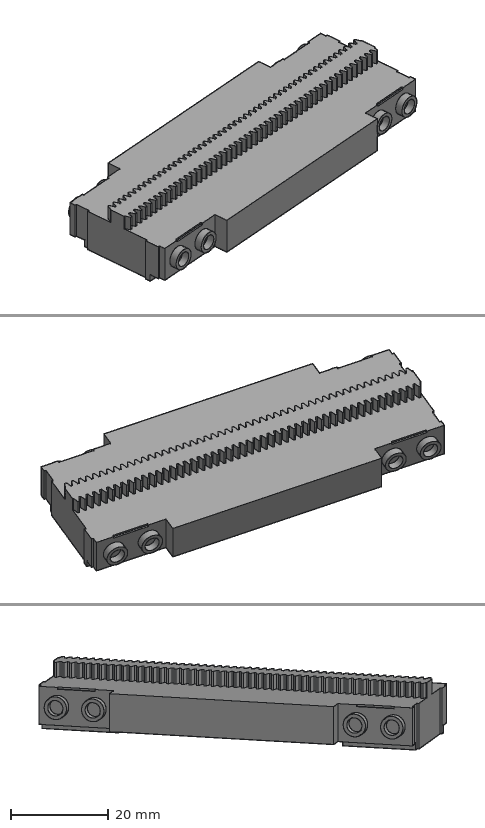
import cadquery as cq

foot_height = 1.6
body_height = 8.0
rack_height = 3.15
body_top = foot_height + body_height

body_length = 80.0
body_width = 25.6
wing_length = 48.0
wing_width = 32.0

foot_width = 18.4
foot_length = (body_length - wing_length) / 2

tab_depth = 0.4
tab_inner_x = 8.0
tab_outer_x = 11.4

tooth_count = 50
tooth_pitch = body_length / tooth_count
rack_root_x = 1.85
rack_tip_x = 3.1

pin_diameter = 4.8
pin_bore_diameter = 3.2
pin_length = 1.7
pin_overlap = 0.4
pin_spacing = 8.0
pin_pair_y = body_length / 2 - foot_length / 2
pin_z = 5.6

edge_step = 0.4


def block(x_range, y_range, z_range):
    """Box spanning the given (low, high) ranges."""
    spans = [high - low for low, high in (x_range, y_range, z_range)]
    corner = (x_range[0], y_range[0], z_range[0])
    return cq.Workplane("XY").box(*spans, centered=False).translate(corner)


def make_body():
    bar = cq.Workplane("XY", origin=(0, 0, foot_height)).rect(body_width, body_length).extrude(body_height)
    wings = cq.Workplane("XY", origin=(0, 0, foot_height)).rect(wing_width, wing_length).extrude(body_height)
    foot_y = (body_length - foot_length) / 2
    feet = (
        cq.Workplane("XY")
        .pushPoints([(0, -foot_y), (0, foot_y)])
        .rect(foot_width, foot_length)
        .extrude(foot_height)
    )
    return bar.union(wings).union(feet)


def make_end_tab():
    """Tab on the -X side of the +Y end; its foot part is as wide as the foot."""
    y_range = (body_length / 2 - tab_depth, body_length / 2 + tab_depth)
    upper = block((-tab_outer_x, -tab_inner_x), y_range, (foot_height, body_top))
    lower = block((-foot_width / 2, -tab_inner_x), y_range, (0, foot_height))
    return upper.union(lower)


def make_end_notch():
    """Notch on the +X side of the +Y end, through the full height."""
    y_range = (body_length / 2 - tab_depth, body_length / 2)
    return block((tab_inner_x, tab_outer_x), y_range, (0, body_top))


def make_rack():
    """Trapezoidal teeth whose tip, gap and flanks each take a quarter pitch along Y."""
    quarter = tooth_pitch / 4
    right_side = [(rack_root_x, -body_length / 2)]
    for index in range(tooth_count):
        start = -body_length / 2 + index * tooth_pitch
        right_side += [
            (rack_root_x, start + 0.5 * quarter),
            (rack_tip_x, start + 1.5 * quarter),
            (rack_tip_x, start + 2.5 * quarter),
            (rack_root_x, start + 3.5 * quarter),
        ]
    right_side.append((rack_root_x, body_length / 2))
    left_side = [(-x, y) for x, y in reversed(right_side)]
    profile = cq.Workplane("XY", origin=(0, 0, body_top)).polyline(right_side + left_side)
    return profile.close().extrude(rack_height)


def make_side_cylinders(y, diameter, depth_in, length_out):
    """Cylinders along X at both side faces of the bar."""
    length = depth_in + length_out
    cylinder = (
        cq.Workplane("YZ", origin=(body_width / 2 - depth_in, y, pin_z))
        .circle(diameter / 2)
        .extrude(length)
    )
    return cylinder.union(cylinder.mirror("YZ"))


def make_edge_steps(center_y):
    """Square-section bars on the two top side edges of the bar."""
    y_range = (center_y - pin_spacing / 2, center_y + pin_spacing / 2)
    z_range = (body_top - edge_step, body_top)
    step = block((body_width / 2 - edge_step, body_width / 2), y_range, z_range)
    return step.union(step.mirror("YZ"))


half_turn = ((0, 0, 0), (0, 0, 1), 180)

result = make_body().union(make_rack())
result = result.union(make_end_tab()).union(make_end_tab().rotate(*half_turn))
result = result.cut(make_end_notch()).cut(make_end_notch().rotate(*half_turn))

for end in (-1, 1):
    result = result.cut(make_edge_steps(end * pin_pair_y))
    for offset in (-pin_spacing / 2, pin_spacing / 2):
        pin_y = end * pin_pair_y + offset
        result = result.union(make_side_cylinders(pin_y, pin_diameter, pin_overlap, pin_length))
        result = result.cut(make_side_cylinders(pin_y, pin_bore_diameter, 0, pin_length))